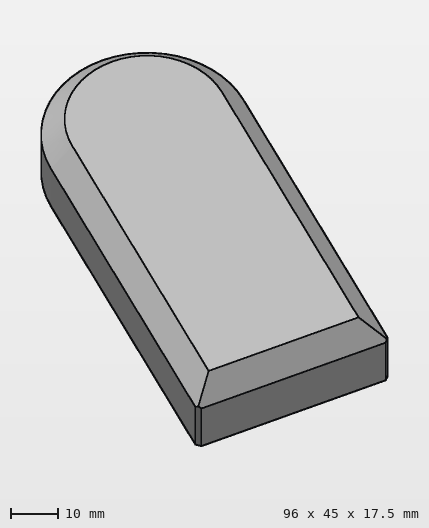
import cadquery as cq

length = 96.0
width = 45.0
height = 17.5

top_chamfer = 5.0
corner_chamfer = 1.0

nose_radius = width / 2
straight_length = length - nose_radius

body = (
    cq.Workplane("XY")
    .moveTo(0, -nose_radius)
    .lineTo(straight_length, -nose_radius)
    .lineTo(straight_length, nose_radius)
    .lineTo(0, nose_radius)
    .threePointArc((-nose_radius, 0), (0, -nose_radius))
    .close()
    .extrude(height)
)

body = body.faces(">Z").chamfer(top_chamfer)

corner_cutter = (
    cq.Workplane("XY")
    .moveTo(straight_length, nose_radius)
    .lineTo(straight_length - corner_chamfer, nose_radius)
    .lineTo(straight_length, nose_radius - corner_chamfer)
    .close()
    .extrude(height)
)
result = body.cut(corner_cutter).cut(corner_cutter.mirror("XZ"))